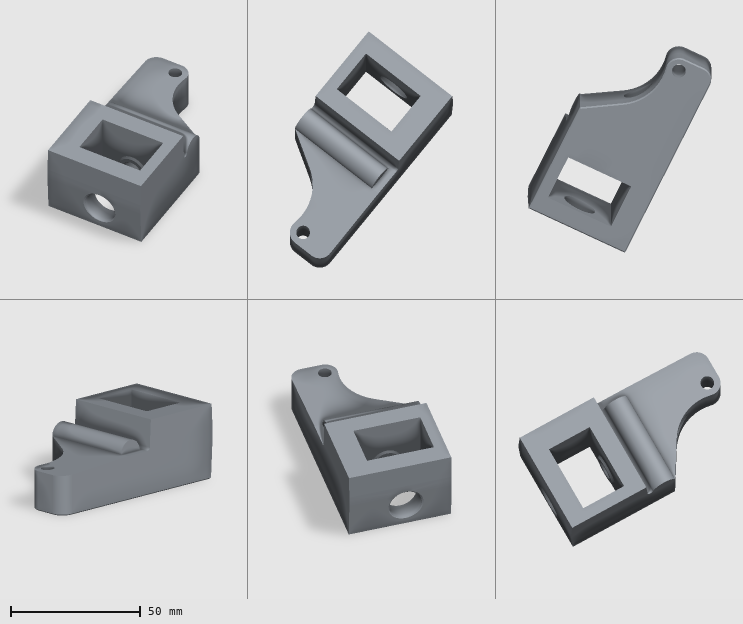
import cadquery as cq
import math

width = 41.3
length = 81.25
height = 30.0
bottom_chamfer = 0.5
draft = math.tan(math.radians(3))

bulge_low_z = 16.0
bulge_high_z = 20.3
bulge_depth = (bulge_high_z - bulge_low_z) / 4 * draft
step_top_y = 33.4
deck_z = 17.7
deck_slope_start_y = 46.15
gully_radius = 1.2

arm_corner_radius = 5.1
pivot_x = 13.3
pivot_y = length - arm_corner_radius
pivot_diameter = 5.3
scoop_x = 36.9
scoop_y = 71.1
arm_root_y = deck_slope_start_y

bar_radius = 4.95
bar_start_x = 3.25

step_bottom_y = step_top_y + (height - deck_z) * draft
gully_y = step_bottom_y - gully_radius * draft + gully_radius * math.hypot(1, draft)
gully_z = deck_z + gully_radius
bar_y = gully_y + math.sqrt(bar_radius**2 + 2 * bar_radius * gully_radius)

window_x = 9.6
window_width = 27.0
window_front_y = 8.1
window_back_y = 26.2

bore_x = 22.9
bore_z = 9.9
bore_diameter = 13.2
bore_chamfer = 0.5
seat_base_diameter = 12.5
seat_tip_diameter = 11.2
seat_length = 0.9
rod_diameter = 7.6
rod_chamfer = 0.25


def make_profile_body():
    """Side profile with the bulged front and stepped top, extruded across the width."""
    bottom_y = bulge_depth + bulge_low_z * draft
    low_y = bulge_depth
    top_y = bulge_depth + (height - bulge_high_z) * draft
    tip_z = deck_z - (length - deck_slope_start_y) * draft
    body = (
        cq.Workplane("YZ")
        .moveTo(bottom_y, 0)
        .lineTo(low_y, bulge_low_z)
        .threePointArc((0, (bulge_low_z + bulge_high_z) / 2), (low_y, bulge_high_z))
        .lineTo(top_y, height)
        .lineTo(step_top_y, height)
        .lineTo(step_bottom_y, deck_z)
        .lineTo(deck_slope_start_y, deck_z)
        .lineTo(length, tip_z)
        .lineTo(length, 0)
        .close()
        .extrude(width)
    )
    step_corner = cq.selectors.NearestToPointSelector((width / 2, step_bottom_y, deck_z))
    return body.edges(step_corner).fillet(gully_radius)


def make_plan_outline():
    """Plan shape: the scoop touches the pivot round and runs tangent into the sloping edge."""
    r = arm_corner_radius
    centre_gap = math.hypot(scoop_x - pivot_x, scoop_y - pivot_y)
    scoop_radius = centre_gap - r
    touch_angle = math.atan2(scoop_y - pivot_y, scoop_x - pivot_x)
    round_mid_angle = (touch_angle + math.pi / 2) / 2

    root_gap = math.hypot(width - scoop_x, arm_root_y - scoop_y)
    root_angle = math.atan2(arm_root_y - scoop_y, width - scoop_x)
    tangent_angle = root_angle - math.acos(scoop_radius / root_gap)
    start_angle = touch_angle - math.pi
    scoop_mid_angle = (start_angle + tangent_angle) / 2

    def on_pivot(angle):
        return (pivot_x + r * math.cos(angle), pivot_y + r * math.sin(angle))

    def on_scoop(angle):
        return (scoop_x + scoop_radius * math.cos(angle), scoop_y + scoop_radius * math.sin(angle))

    corner_offset = r * (1 - math.sqrt(0.5))
    return (
        cq.Workplane("XY")
        .lineTo(0, length - r)
        .threePointArc((corner_offset, length - corner_offset), (r, length))
        .lineTo(pivot_x, length)
        .threePointArc(on_pivot(round_mid_angle), on_pivot(touch_angle))
        .threePointArc(on_scoop(scoop_mid_angle), on_scoop(tangent_angle))
        .lineTo(width, arm_root_y)
        .lineTo(width, 0)
        .close()
        .extrude(height)
    )


def make_bar():
    """Round bar whose lower half is buried in the deck."""
    return (
        cq.Workplane("YZ", origin=(bar_start_x, bar_y, deck_z))
        .circle(bar_radius)
        .extrude(width - bar_start_x)
    )


def make_gully_fill():
    """Concave fill that carries the gully round from the deck up to its tangent line on the bar."""
    bar_length = width - bar_start_x
    tangent_height = gully_radius * bar_radius / (bar_radius + gully_radius)
    block = cq.Workplane("XY").box(bar_length, bar_y - gully_y, tangent_height, centered=False)
    block = block.translate((bar_start_x, gully_y, deck_z))
    gully = cq.Workplane("YZ", origin=(bar_start_x, gully_y, gully_z)).circle(gully_radius).extrude(bar_length)
    return block.cut(gully)


def cone(start_y, start_diameter, end_y, end_diameter):
    """Solid of revolution along Y on the bore axis."""
    return cq.Workplane(
        cq.Solid.makeCone(
            start_diameter / 2,
            end_diameter / 2,
            end_y - start_y,
            cq.Vector(bore_x, start_y, bore_z),
            cq.Vector(0, 1, 0),
        )
    )


def cylinder(start_y, end_y, diameter):
    """Cylinder along Y on the bore axis."""
    return cq.Workplane("XZ", origin=(bore_x, start_y, bore_z)).circle(diameter / 2).extrude(start_y - end_y)


body = make_profile_body().intersect(make_plan_outline())
body = body.faces("<Z").chamfer(bottom_chamfer)
body = body.union(make_bar())
body = body.union(make_gully_fill())

window_length = window_back_y - window_front_y
window = cq.Workplane("XY").box(window_width, window_length, height, centered=False)
body = body.cut(window.translate((window_x, window_front_y, 0)))
body = body.cut(cq.Workplane("XY").center(pivot_x, pivot_y).circle(pivot_diameter / 2).extrude(height))

seat_tip_y = window_back_y - seat_length
body = body.union(cone(seat_tip_y, seat_tip_diameter, window_back_y, seat_base_diameter))

mouth_depth = bore_chamfer + bulge_depth + (bulge_low_z - bore_z) * draft
body = body.cut(cylinder(0, window_front_y, bore_diameter))
body = body.cut(cone(0, bore_diameter + 2 * mouth_depth, mouth_depth, bore_diameter))

body = body.cut(cylinder(seat_tip_y, length, rod_diameter))
body = body.cut(cone(seat_tip_y, rod_diameter + 2 * rod_chamfer, seat_tip_y + rod_chamfer, rod_diameter))

result = body